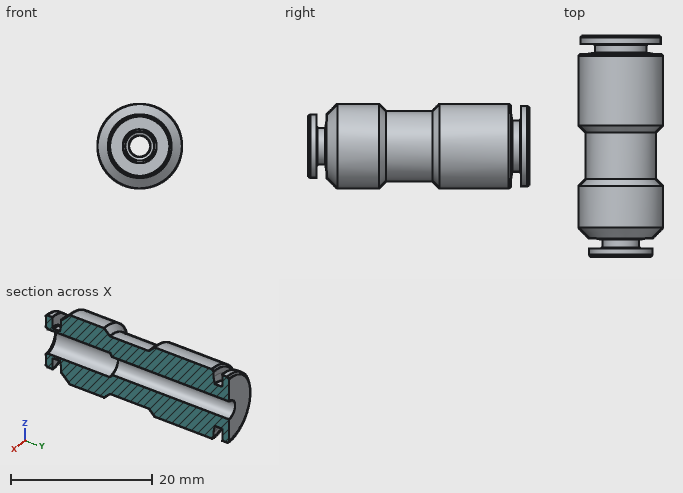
import cadquery as cq
import math


TOTAL_LENGTH = 31.3
BODY_RADIUS = 6.0

COLLAR_THICKNESS = 1.2
COLLAR_CHAMFER = 0.3
SMALL_COLLAR_RADIUS = 4.5
LARGE_COLLAR_RADIUS = 5.7
SMALL_NECK_RADIUS = 2.6
LARGE_NECK_RADIUS = 3.65
NECK_FLARE = 0.15
COLLAR_GAP = 1.42

SMALL_END_FACE_RADIUS = 4.5
LARGE_END_CHAMFER = 0.3
LIP_WIDTH = 1.1
LIP_HEIGHT = 0.2
WAIST_RADIUS = 5.0
WAIST_START = 10.0
WAIST_LENGTH = 8.6

BORE_RADIUS = 1.5
SOCKET_RADIUS = 2.05
SOCKET_MOUTH_RADIUS = 2.4
SOCKET_MOUTH_DEPTH = 0.35
SOCKET_DEPTH = 11.0
SOCKET_END_HALF_ANGLE = 60.0


def collar(outer_radius, neck_radius):
    """Collar, neck and body lip as (radius, length) points, starting at the end face."""
    return [
        (0, 0),
        (outer_radius - COLLAR_CHAMFER, 0),
        (outer_radius, COLLAR_CHAMFER),
        (outer_radius, COLLAR_THICKNESS),
        (neck_radius + NECK_FLARE, COLLAR_THICKNESS),
        (neck_radius, COLLAR_THICKNESS + NECK_FLARE),
        (neck_radius, COLLAR_THICKNESS + COLLAR_GAP - LIP_HEIGHT),
        (neck_radius + LIP_WIDTH, COLLAR_THICKNESS + COLLAR_GAP),
    ]


def outer_profile():
    """Outer half section, from the small end to the large end."""
    body_start = COLLAR_THICKNESS + COLLAR_GAP
    body_end = TOTAL_LENGTH - body_start
    small_end_cone = BODY_RADIUS - SMALL_END_FACE_RADIUS
    waist_cone = BODY_RADIUS - WAIST_RADIUS
    waist_end = WAIST_START + WAIST_LENGTH
    body = [
        (SMALL_END_FACE_RADIUS, body_start),
        (BODY_RADIUS, body_start + small_end_cone),
        (BODY_RADIUS, WAIST_START),
        (WAIST_RADIUS, WAIST_START + waist_cone),
        (WAIST_RADIUS, waist_end - waist_cone),
        (BODY_RADIUS, waist_end),
        (BODY_RADIUS, body_end - LARGE_END_CHAMFER),
        (BODY_RADIUS - LARGE_END_CHAMFER, body_end),
    ]
    small_end = collar(SMALL_COLLAR_RADIUS, SMALL_NECK_RADIUS)
    large_end = [(r, TOTAL_LENGTH - y) for r, y in collar(LARGE_COLLAR_RADIUS, LARGE_NECK_RADIUS)]
    return small_end + body + large_end[::-1]


def bore_profile():
    """Half section of the bore: chamfered tube socket, conical step, through hole."""
    step_length = (SOCKET_RADIUS - BORE_RADIUS) / math.tan(math.radians(SOCKET_END_HALF_ANGLE))
    return [
        (0, 0),
        (SOCKET_MOUTH_RADIUS, 0),
        (SOCKET_RADIUS, SOCKET_MOUTH_DEPTH),
        (SOCKET_RADIUS, SOCKET_DEPTH),
        (BORE_RADIUS, SOCKET_DEPTH + step_length),
        (BORE_RADIUS, TOTAL_LENGTH),
        (0, TOTAL_LENGTH),
    ]


def revolve(profile):
    """Solid of revolution about Y, centred on the origin lengthwise."""
    section = cq.Workplane("XY").polyline(profile).close()
    solid = section.revolve(360, (0, 0), (0, 1))
    return solid.translate((0, -TOTAL_LENGTH / 2, 0))


result = revolve(outer_profile()).cut(revolve(bore_profile()))